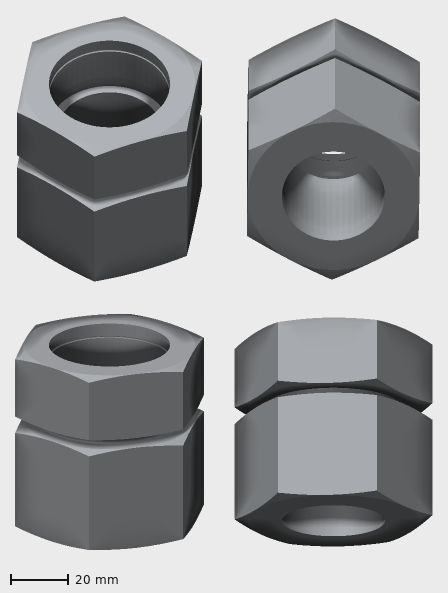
import cadquery as cq
import math

ACROSS_CORNERS = 69.3
HEX_TURN = 89.85
FACE_DIAMETER = 59.85
CHAMFER_ANGLE = 15.0
ENVELOPE_MARGIN = 0.7

TOTAL_HEIGHT = 65.0
BODY_HEX_HEIGHT = 37.5
NECK_ROOT_DEPTH = 0.7
NUT_HEIGHT = 24.0
NUT_BOTTOM = TOTAL_HEIGHT - NUT_HEIGHT
NUT_LIP = 4.65
RING_GAP = 0.55
NUT_CEILING = TOTAL_HEIGHT - NUT_LIP
RING_TOP = NUT_CEILING - RING_GAP
RING_HEIGHT = 13.0
RING_BOTTOM = RING_TOP - RING_HEIGHT
TUBE_STOP = 42.4

BORE_DIAMETER = 36.0
SOCKET_DIAMETER = 42.25
RING_BORE = 42.0
RING_DIAMETER = 45.0
NUT_BORE = 42.3
NECK_DIAMETER = 49.0

NECK_FOOT_RADIUS = 1.05


def cylinder(diameter, bottom, top):
    return cq.Workplane("XY").workplane(offset=bottom).circle(diameter / 2).extrude(top - bottom)


def chamfered_hexagon(bottom, height):
    """Hexagonal prism whose corners are turned down conically at both ends."""
    prism = (
        cq.Workplane("XY").workplane(offset=bottom)
        .polygon(6, ACROSS_CORNERS).extrude(height)
        .rotate((0, 0, 0), (0, 0, 1), HEX_TURN)
    )
    face_radius = FACE_DIAMETER / 2
    envelope_radius = ACROSS_CORNERS / 2 + ENVELOPE_MARGIN
    drop = (envelope_radius - face_radius) * math.tan(math.radians(CHAMFER_ANGLE))
    top = bottom + height
    envelope = (
        cq.Workplane("XZ")
        .moveTo(0, bottom)
        .lineTo(face_radius, bottom)
        .lineTo(envelope_radius, bottom + drop)
        .lineTo(envelope_radius, top - drop)
        .lineTo(face_radius, top)
        .lineTo(0, top)
        .close()
        .revolve(360, (0, 0), (0, 1))
    )
    return prism.intersect(envelope)


def neck():
    """Round neck of the body with a concave fillet at its foot on the hexagon."""
    root = BODY_HEX_HEIGHT - NECK_ROOT_DEPTH
    neck_radius = NECK_DIAMETER / 2
    foot_radius = neck_radius + NECK_FOOT_RADIUS
    fillet_offset = NECK_FOOT_RADIUS * (1 - math.sqrt(0.5))
    return (
        cq.Workplane("XZ")
        .moveTo(0, root)
        .lineTo(foot_radius, root)
        .lineTo(foot_radius, BODY_HEX_HEIGHT)
        .threePointArc(
            (neck_radius + fillet_offset, BODY_HEX_HEIGHT + fillet_offset),
            (neck_radius, BODY_HEX_HEIGHT + NECK_FOOT_RADIUS),
        )
        .lineTo(neck_radius, NUT_CEILING)
        .lineTo(0, NUT_CEILING)
        .close()
        .revolve(360, (0, 0), (0, 1))
    )


def make_body():
    """Hexagonal fitting body with a stepped bore: passage, tube socket, ring seat."""
    return (
        chamfered_hexagon(0, BODY_HEX_HEIGHT)
        .union(neck())
        .cut(cylinder(BORE_DIAMETER, 0, TUBE_STOP))
        .cut(cylinder(SOCKET_DIAMETER, TUBE_STOP, RING_BOTTOM))
        .cut(cylinder(RING_DIAMETER, RING_BOTTOM, NUT_CEILING))
    )


def make_ring():
    """Clamping ring seated in the mouth of the body."""
    return cylinder(RING_DIAMETER, RING_BOTTOM, RING_TOP).cut(cylinder(RING_BORE, RING_BOTTOM, RING_TOP))


def make_nut():
    """Union nut around the neck, with an inward lip at the top."""
    return (
        chamfered_hexagon(NUT_BOTTOM, NUT_HEIGHT)
        .cut(cylinder(NECK_DIAMETER, NUT_BOTTOM, NUT_CEILING))
        .cut(cylinder(NUT_BORE, NUT_CEILING, TOTAL_HEIGHT))
    )


body = make_body()
ring = make_ring()
nut = make_nut()

result = cq.Compound.makeCompound([body.solids().val(), ring.solids().val(), nut.solids().val()])